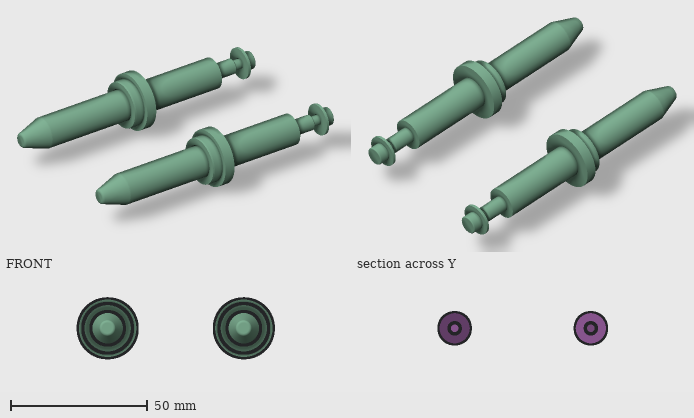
import cadquery as cq
import math

pin_spacing = 50.0
assembly_count = 2

pin_diameter = 12.0
tip_diameter = 5.4
tip_fillet = 1.0
taper_length = 10.0
shoulder_blend_radius = 1.0
body_end = 86.0
stub_diameter = 6.0
stub_end = 95.0
stub_chamfer = 0.5

collar_front = 45.0
pilot_diameter = 18.0
pilot_length = 4.0
pilot_lead_length = 0.6
pilot_lead_angle = 10
flange_diameter = 22.0
flange_thickness = 4.0
relief_width = 0.3
relief_depth = 0.1
clearance_bore_diameter = 12.7

washer_front = 98.0
washer_thickness = 1.0
washer_diameter = 12.0
washer_hole_diameter = 4.3

overall_length = 103.0
head_diameter = 7.0
head_edge_fillet = 0.4
shank_diameter = 3.8
thread_depth = 8.0

flange_front = collar_front + pilot_length
flange_back = flange_front + flange_thickness
washer_back = washer_front + washer_thickness
relief_front = flange_front - relief_width
relief_back = flange_front + relief_depth
shank_front = stub_end - thread_depth


def cylinder(diameter, start, end):
    """Solid cylinder on the Y axis from Y = start to Y = end."""
    return cq.Workplane("XZ", origin=(0, start, 0)).circle(diameter / 2).extrude(start - end)


def revolve_about_y(profile):
    """Turn a closed profile, drawn with Y along its first axis, once around the Y axis."""
    return profile.revolve(360, (0, 0, 0), (1, 0, 0))


def make_pin():
    """Tapered guide pin with a reduced rear stub, bored to receive the bolt shank."""
    outline = (
        cq.Workplane("YZ")
        .moveTo(0, 0)
        .lineTo(0, tip_diameter / 2)
        .lineTo(taper_length, pin_diameter / 2)
        .lineTo(body_end, pin_diameter / 2)
        .lineTo(body_end, stub_diameter / 2)
        .lineTo(stub_end, stub_diameter / 2)
        .lineTo(stub_end, 0)
        .close()
    )
    pin = revolve_about_y(outline)
    pin = pin.faces("<Y").edges().fillet(tip_fillet)
    pin = pin.faces(">Y").edges().chamfer(stub_chamfer)
    shoulder = cq.selectors.NearestToPointSelector((0, taper_length, pin_diameter / 2))
    pin = pin.edges("%CIRCLE").edges(shoulder).fillet(shoulder_blend_radius)
    return pin.cut(cylinder(shank_diameter, shank_front, stub_end))


def make_collar():
    """Flanged collar whose flange grips the pin; its pilot bore clears the pin.

    The pilot has a shallow lead-in chamfer and a shallow relief groove at the flange corner.
    """
    lead_height = pilot_lead_length * math.tan(math.radians(pilot_lead_angle))
    pilot_radius = pilot_diameter / 2
    flange_radius = flange_diameter / 2
    bore_radius = pin_diameter / 2
    clearance_radius = clearance_bore_diameter / 2
    outline = (
        cq.Workplane("YZ")
        .moveTo(flange_front, bore_radius)
        .lineTo(flange_front, clearance_radius)
        .lineTo(collar_front, clearance_radius)
        .lineTo(collar_front, pilot_radius - lead_height)
        .lineTo(collar_front + pilot_lead_length, pilot_radius)
        .lineTo(relief_front, pilot_radius)
        .lineTo(relief_front, pilot_radius - relief_depth)
        .lineTo(relief_back, pilot_radius - relief_depth)
        .lineTo(relief_back, pilot_radius + relief_width)
        .lineTo(flange_front, pilot_radius + relief_width)
        .lineTo(flange_front, flange_radius)
        .lineTo(flange_back, flange_radius)
        .lineTo(flange_back, bore_radius)
        .close()
    )
    return revolve_about_y(outline)


def make_washer():
    """Flat washer with clearance around the bolt shank."""
    disc = cylinder(washer_diameter, washer_front, washer_back)
    return disc.cut(cylinder(washer_hole_diameter, washer_front, washer_back))


def make_bolt():
    """Round-headed bolt that seats on the washer and reaches into the pin stub."""
    head = cylinder(head_diameter, washer_back, overall_length)
    head = head.faces(">Y").edges().fillet(head_edge_fillet)
    return head.union(cylinder(shank_diameter, shank_front, washer_back))


bodies = []
for index in range(assembly_count):
    offset_x = (index - (assembly_count - 1) / 2) * pin_spacing
    for body in (make_pin(), make_collar(), make_washer(), make_bolt()):
        bodies.append(body.translate((offset_x, 0, 0)).val())

result = cq.Compound.makeCompound(bodies)